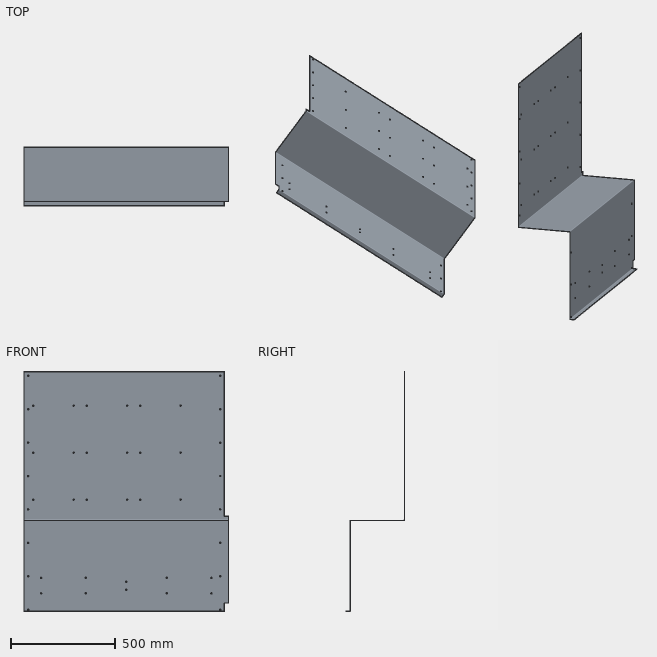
import cadquery as cq

SHEET = 1.0
BEND_INNER = 2.5
BEND_OUTER = BEND_INNER + SHEET
WIDTH = 980.0
HEIGHT = 1148.0
SHELF_DEPTH = 261.0
FLANGE = 20.0
DEPTH = SHELF_DEPTH + FLANGE
SHELF_TOP = 436.0

TAB = 20.0
BODY_WIDTH = WIDTH - TAB
TAB_BOTTOM = 40.0
TAB_TOP = SHELF_TOP + TAB

HOLE_DIAMETER = 5.0
EDGE_INSET = 20.0
EDGE_COUNT = 8
EDGE_PITCH = 160.0
EDGE_TOP = HEIGHT - EDGE_INSET

PAIR_COUNT = 3
PAIR_FIRST_X = 45.0
PAIR_WIDTH = 193.0
PAIR_PITCH = 256.0
ROW_COUNT = 3
ROW_LOWEST = 535.0
ROW_PITCH = 225.0

LOWER_X = WIDTH / 2
LOWER_Z = 123.5
LOWER_INNER = 194.0
LOWER_OUTER = 408.0
LOWER_ROW = 37.0
CENTRE_ROW = 19.0


def fillet_bend(sheet, concave, convex):
    """Round one fold: inner radius on its concave edge, outer radius on its convex edge."""
    for (y, z), radius in ((concave, BEND_INNER), (convex, BEND_OUTER)):
        edge = cq.selectors.NearestToPointSelector((WIDTH / 2, y, z))
        sheet = sheet.edges("|X").edges(edge).fillet(radius)
    return sheet


def folded_sheet():
    """Stepped sheet: upper panel, shelf, lower panel and bottom flange."""
    flange_inner = (FLANGE, SHEET)
    flange_outer = (FLANGE + SHEET, 0)
    nose_inner = (FLANGE + SHEET, SHELF_TOP - SHEET)
    nose_outer = (FLANGE, SHELF_TOP)
    back_inner = (DEPTH - SHEET, SHELF_TOP)
    back_outer = (DEPTH, SHELF_TOP - SHEET)
    profile = [
        (0, 0),
        flange_outer,
        nose_inner,
        back_outer,
        (DEPTH, HEIGHT),
        (DEPTH - SHEET, HEIGHT),
        back_inner,
        nose_outer,
        flange_inner,
        (0, SHEET),
    ]
    sheet = cq.Workplane("YZ").polyline(profile).close().extrude(WIDTH)
    sheet = fillet_bend(sheet, flange_inner, flange_outer)
    sheet = fillet_bend(sheet, nose_inner, nose_outer)
    return fillet_bend(sheet, back_inner, back_outer)


def edge_setback(bottom, top):
    """Block that trims the right edge back to the body width between two heights."""
    block = cq.Workplane("XY").box(TAB, DEPTH, top - bottom, centered=False)
    return block.translate((BODY_WIDTH, 0, bottom))


def edge_holes():
    """Columns of evenly spaced holes along the left and right edges."""
    columns = (EDGE_INSET, BODY_WIDTH - EDGE_INSET)
    return [(x, EDGE_TOP - i * EDGE_PITCH) for x in columns for i in range(EDGE_COUNT)]


def upper_holes():
    """Bracket holes of the upper panel."""
    points = []
    for pair in range(PAIR_COUNT):
        left = PAIR_FIRST_X + pair * PAIR_PITCH
        for row in range(ROW_COUNT):
            z = ROW_LOWEST + row * ROW_PITCH
            points += [(left, z), (left + PAIR_WIDTH, z)]
    return points


def lower_holes():
    """Two rows of four holes, and one vertical pair in the middle."""
    points = [(LOWER_X, LOWER_Z + side * CENTRE_ROW) for side in (-1, 1)]
    for offset in (-LOWER_OUTER, -LOWER_INNER, LOWER_INNER, LOWER_OUTER):
        for side in (-1, 1):
            points.append((LOWER_X + offset, LOWER_Z + side * LOWER_ROW))
    return points


def drills(points):
    """Rods along Y that cut the holes through the panels."""
    return cq.Workplane("XZ").pushPoints(points).circle(HOLE_DIAMETER / 2).extrude(-DEPTH)


result = (
    folded_sheet()
    .cut(edge_setback(0, TAB_BOTTOM))
    .cut(edge_setback(TAB_TOP, HEIGHT))
    .cut(drills(edge_holes() + upper_holes() + lower_holes()))
)